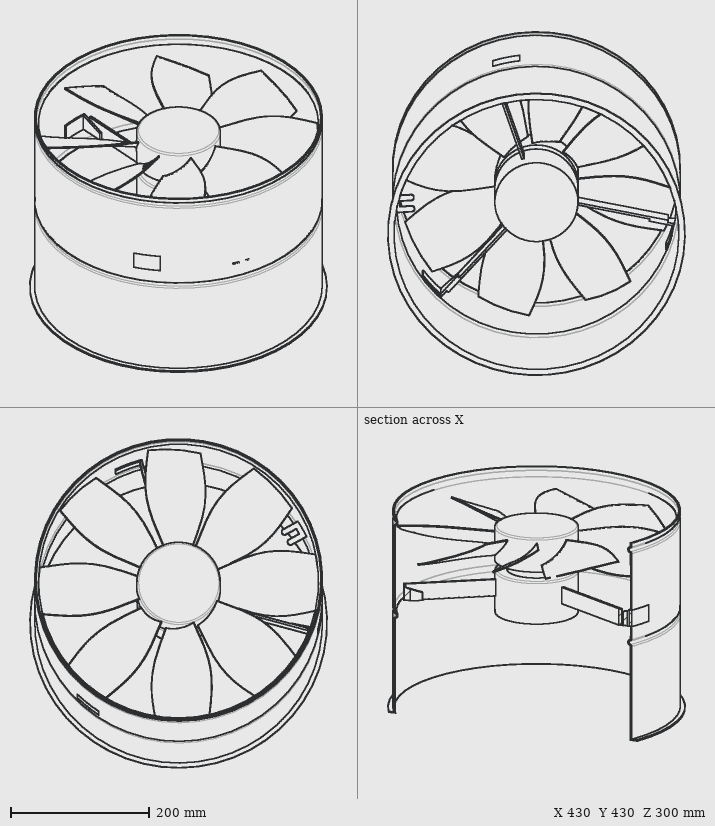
import cadquery as cq
import math

FLANGE_RADIUS = 215.0
FLANGE_THICKNESS = 2.0
CASING_HEIGHT = 300.0
CASING_RADIUS = 208.0
SHEET = 2.0
INNER_RADIUS = CASING_RADIUS - SHEET
BEAD_HEIGHTS = (148.8, 290.0)
BEAD_DEPTH = 3.5
BEAD_HALF_HEIGHT = 5.0
BEAD_FILLET = (BEAD_DEPTH**2 + BEAD_HALF_HEIGHT**2) / (4 * BEAD_DEPTH)

HUB_RADIUS = 60.5
HUB_BOTTOM = 225.5
HUB_RIM = 277.0
NOSE_FILLET = 2.5
NOSE_RISE = 10.8

MOTOR_RADIUS = 60.0
MOTOR_TOP = 210.5
MOTOR_BOTTOM = 146.0
MOTOR_FILLET = 2.5
SHAFT_RADIUS = 43.0

BLADE_COUNT = 8
BLADE_START_ANGLE = 2.2
BLADE_THICKNESS = 1.7
BLADE_TIP_RADIUS = 203.0
BLADE_STATIONS = (
    (51.5, 18.0, 234.8, 268.0, 4.0),
    (99.0, 35.5, 231.5, 273.0, 3.0),
    (142.0, 43.5, 228.5, 274.5, 2.0),
    (176.5, 41.3, 230.5, 271.0, 1.7),
    (206.5, 37.0, 236.5, 266.0, 1.0),
)

SUPPORT_COUNT = 3
SUPPORT_START_ANGLE = 60.0
SUPPORT_BOTTOM = 173.5
SUPPORT_TOP = 198.2
PLATE_THICKNESS = 3.5
PLATE_SEAM = 1.5
ARM_END_RADIUS = 194.5
GUSSET_START_RADIUS = 167.5
GUSSET_START_TOP = 185.0
FOOT_START_ANGLE = 0.8
FOOT_SPAN = 11.0
FOOT_PROUD = 0.1

FORK_ANGLE = -15.0
FORK_TIP_RADIUS = 177.0
FORK_WIDTH = 26.0
FORK_SLOT_WIDTH = 8.5
FORK_SLOT_END_RADIUS = 198.2
FORK_CORNER = 4.0


def cylinder(radius, bottom, top):
    return cq.Workplane("XY").workplane(offset=bottom).circle(radius).extrude(top - bottom)


def turn(part, angle):
    return part.rotate((0, 0, 0), (0, 0, 1), angle)


def beaded_body(inset):
    """Solid of revolution bounded by the casing wall moved inward by inset."""
    wall_radius = CASING_RADIUS - inset
    edge_radius = BEAD_FILLET - inset
    valley_radius = BEAD_FILLET + inset
    edge_center = CASING_RADIUS - BEAD_FILLET
    valley_center = CASING_RADIUS - BEAD_DEPTH + BEAD_FILLET
    bend = math.atan2(BEAD_HALF_HEIGHT, valley_center - edge_center)

    profile = cq.Workplane("XZ").lineTo(wall_radius, 0)
    for height in BEAD_HEIGHTS:
        low = height - BEAD_HALF_HEIGHT
        high = height + BEAD_HALF_HEIGHT
        joint_x = edge_center + edge_radius * math.cos(bend)
        joint_rise = edge_radius * math.sin(bend)
        middle_x = edge_center + edge_radius * math.cos(bend / 2)
        middle_rise = edge_radius * math.sin(bend / 2)
        profile = (
            profile.lineTo(wall_radius, low)
            .threePointArc((middle_x, low + middle_rise), (joint_x, low + joint_rise))
            .threePointArc((valley_center - valley_radius, height), (joint_x, high - joint_rise))
            .threePointArc((middle_x, high - middle_rise), (wall_radius, high))
        )
    profile = profile.lineTo(wall_radius, CASING_HEIGHT).lineTo(0, CASING_HEIGHT).close()
    return profile.revolve(360, (0, 0, 0), (0, 1, 0))


def make_casing():
    flange = cylinder(FLANGE_RADIUS, 0, FLANGE_THICKNESS)
    return beaded_body(0).union(flange).cut(beaded_body(SHEET))


def make_hub():
    nose_radius = HUB_RADIUS - NOSE_FILLET
    nose_center = HUB_RIM - (nose_radius**2 - NOSE_RISE**2) / (2 * NOSE_RISE)
    sphere_radius = HUB_RIM + NOSE_RISE - nose_center
    mid_x = nose_radius / 2
    mid_z = nose_center + math.sqrt(sphere_radius**2 - mid_x**2)
    fillet_reach = NOSE_FILLET * math.sqrt(0.5)
    fillet_bottom = HUB_RIM - NOSE_FILLET
    return (
        cq.Workplane("XZ")
        .moveTo(0, HUB_BOTTOM)
        .lineTo(HUB_RADIUS, HUB_BOTTOM)
        .lineTo(HUB_RADIUS, fillet_bottom)
        .threePointArc((nose_radius + fillet_reach, fillet_bottom + fillet_reach), (nose_radius, HUB_RIM))
        .threePointArc((mid_x, mid_z), (0, HUB_RIM + NOSE_RISE))
        .close()
        .revolve(360, (0, 0, 0), (0, 1, 0))
    )


def make_motor():
    body = cylinder(MOTOR_RADIUS, MOTOR_BOTTOM, MOTOR_TOP).faces(">Z").edges().fillet(MOTOR_FILLET)
    return body.union(cylinder(SHAFT_RADIUS, MOTOR_BOTTOM, HUB_RIM))


def blade_section(radius, half_width, low, high, sag):
    """Thin tilted and cambered strip across the blade at the given radius."""
    rise = high - low
    half_chord = math.hypot(half_width, rise / 2)
    pitch = math.degrees(math.atan2(rise, 2 * half_width))
    middle = (low + high) / 2
    half_thickness = BLADE_THICKNESS / 2
    section = cq.Workplane("YZ", origin=(radius, 0, middle)).transformed(rotate=(0, 0, pitch))
    return (
        section.moveTo(-half_chord, -half_thickness)
        .threePointArc((0, -half_thickness - sag), (half_chord, -half_thickness))
        .lineTo(half_chord, half_thickness)
        .threePointArc((0, half_thickness - sag), (-half_chord, half_thickness))
        .close()
        .wires()
        .val()
    )


def make_blade():
    wires = [blade_section(*station) for station in BLADE_STATIONS]
    blade = cq.Workplane(cq.Solid.makeLoft(wires))
    return blade.intersect(cylinder(BLADE_TIP_RADIUS, HUB_BOTTOM, CASING_HEIGHT))


def upright_plate(outline, side):
    """Vertical radial plate from an (x, z) outline, one face at Y = side, thickening toward -Y."""
    return cq.Workplane("XZ", origin=(0, side, 0)).polyline(outline).close().extrude(PLATE_THICKNESS)


def make_foot():
    inner_radius = INNER_RADIUS - SHEET
    outer_radius = CASING_RADIUS + FOOT_PROUD
    foot = (
        cq.Workplane("XZ", origin=(inner_radius, 0, SUPPORT_BOTTOM))
        .rect(outer_radius - inner_radius, SUPPORT_TOP - SUPPORT_BOTTOM, centered=False)
        .revolve(FOOT_SPAN, (-inner_radius, 0, 0), (-inner_radius, 1, 0))
    )
    return turn(foot, FOOT_START_ANGLE)


def make_support():
    arm = upright_plate(
        [
            (SHAFT_RADIUS, SUPPORT_BOTTOM),
            (ARM_END_RADIUS, SUPPORT_BOTTOM),
            (ARM_END_RADIUS, SUPPORT_TOP),
            (SHAFT_RADIUS, SUPPORT_TOP),
        ],
        PLATE_SEAM,
    )
    gusset = upright_plate(
        [
            (GUSSET_START_RADIUS, SUPPORT_BOTTOM),
            (INNER_RADIUS, SUPPORT_BOTTOM),
            (INNER_RADIUS, SUPPORT_TOP),
            (GUSSET_START_RADIUS, GUSSET_START_TOP),
        ],
        PLATE_SEAM + PLATE_THICKNESS,
    )
    return arm.union(gusset).union(make_foot())


def make_fork():
    length = CASING_RADIUS - FORK_TIP_RADIUS
    slot_length = FORK_SLOT_END_RADIUS - FORK_TIP_RADIUS
    base = cq.Workplane("XY", origin=(FORK_TIP_RADIUS, 0, SUPPORT_BOTTOM))
    plate = base.rect(length, FORK_WIDTH, centered=(False, True)).extrude(SHEET)
    slot = base.rect(slot_length, FORK_SLOT_WIDTH, centered=(False, True)).extrude(SHEET)
    fork = plate.cut(slot).edges("|Z and <X").fillet(FORK_CORNER)
    fork = fork.intersect(cylinder(CASING_RADIUS - SHEET / 2, 0, CASING_HEIGHT))
    return turn(fork, FORK_ANGLE)


def ring_of(part, count, start_angle):
    step = 360 / count
    return [turn(part, start_angle + i * step) for i in range(count)]


result = make_casing().union(make_hub()).union(make_motor()).union(make_fork())
for blade in ring_of(make_blade(), BLADE_COUNT, BLADE_START_ANGLE):
    result = result.union(blade)
for support in ring_of(make_support(), SUPPORT_COUNT, SUPPORT_START_ANGLE):
    result = result.union(support)